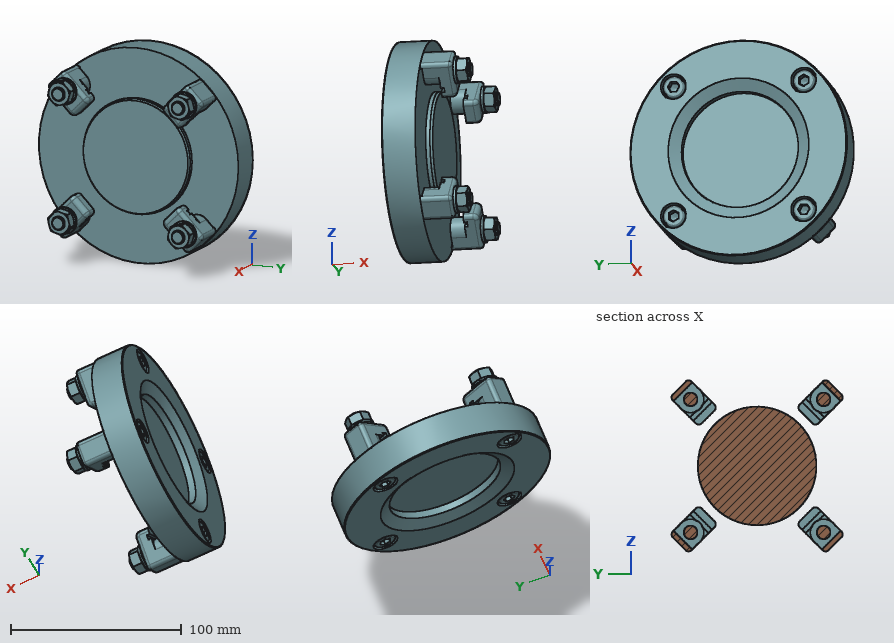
import cadquery as cq
import math

flange_radius = 65.0
flange_thickness = 20.2
flange_edge_chamfer = 0.5

recess_mouth_radius = 42.1
recess_bore_radius = 35.0
recess_cone_depth = 4.0
recess_depth = 8.6

boss_radius = 34.8
boss_height = 4.0
boss_chamfer_length = 1.5
boss_chamfer_width = 0.8

clamp_count = 4
first_clamp_angle = 45.0
bolt_circle_radius = 55.1
clamp_inner = 40.5
clamp_outer = 64.6
clamp_width = 15.6
clamp_top = 39.0
clamp_corner_radius = 2.5
clamp_top_radius = 2.0
jaw_tip_radius = 3.2
jaw_face = 30.0
foot_length = 3.1
foot_height = 0.8
jaw_groove_start = 45.1
jaw_groove_width = 2.9
jaw_groove_depth = 2.0

bolt_radius = 4.0
bolt_end = 48.5
bolt_end_chamfer = 0.5
counterbore_radius = 7.5
head_radius = 6.5
head_height = 8.0
head_sink = 0.4
head_edge_radius = 0.9
socket_across_flats = 6.0
socket_depth = 4.0
socket_cone_depth = 2.0
socket_turn = 45.0
washer_radius = 7.9
washer_thickness = 1.5
nut_across_flats = 13.3
nut_height = 6.4
nut_chamfer_width = 0.9
nut_chamfer_length = 0.5


def hexagon_diameter(across_flats):
    return across_flats / math.cos(math.radians(30))


def cylinder(radius, start, end, centre_z=0.0):
    """Cylinder along X from start to end."""
    return cq.Workplane("YZ", origin=(start, 0, centre_z)).circle(radius).extrude(end - start)


def block(start, end, width, bottom, top):
    """Box from start to end in X and bottom to top in Z, centred on Y = 0."""
    size = (end - start, width, top - bottom)
    return cq.Workplane("XY").box(*size).translate(((start + end) / 2, 0, (bottom + top) / 2))


def revolve_about_x(points, centre_z=0.0):
    """Solid of revolution about X from a closed outline of (x, radius) points."""
    outline = cq.Workplane("XY").polyline(points).close()
    return outline.revolve(360, (0, 0, 0), (1, 0, 0)).translate((0, 0, centre_z))


def make_flange():
    disc = cylinder(flange_radius, 0, flange_thickness).faces("<X").chamfer(flange_edge_chamfer)
    boss_end = flange_thickness + boss_height
    boss = revolve_about_x([
        (flange_thickness, 0),
        (flange_thickness, boss_radius),
        (boss_end - boss_chamfer_length, boss_radius),
        (boss_end, boss_radius - boss_chamfer_width),
        (boss_end, 0),
    ])
    recess = revolve_about_x([
        (0, 0),
        (0, recess_mouth_radius),
        (recess_cone_depth, recess_bore_radius),
        (recess_depth, recess_bore_radius),
        (recess_depth, 0),
    ])
    return disc.union(boss).cut(recess)


def make_clamp():
    """Claw clamp on the +Z side: rounded post, foot at the rim and overhanging jaw."""
    body = block(flange_thickness, clamp_top, clamp_width, clamp_inner, clamp_outer)
    body = body.faces(">X").edges("<Z").fillet(jaw_tip_radius)
    body = body.edges("|X").fillet(clamp_corner_radius)
    body = body.faces(">X").edges(">Z").fillet(clamp_top_radius)
    under_jaw = block(flange_thickness, jaw_face, clamp_width, clamp_inner, bolt_circle_radius)
    post = cylinder(clamp_width / 2, flange_thickness, jaw_face, bolt_circle_radius)
    foot_gap = block(
        flange_thickness, flange_thickness + foot_height, clamp_width,
        clamp_inner, clamp_outer - foot_length,
    )
    groove = block(
        jaw_face, jaw_face + jaw_groove_depth, clamp_width,
        jaw_groove_start, jaw_groove_start + jaw_groove_width,
    )
    return body.cut(under_jaw.cut(post)).cut(foot_gap).cut(groove)


def make_counterbore():
    return cylinder(counterbore_radius, 0, head_sink + head_height, bolt_circle_radius)


def make_socket():
    """Hexagonal socket with a conical bottom."""
    diameter = hexagon_diameter(socket_across_flats)
    length = socket_depth + socket_cone_depth
    prism = cq.Workplane("YZ").polygon(6, diameter).extrude(length)
    prism = prism.rotate((0, 0, 0), (1, 0, 0), socket_turn)
    drill = revolve_about_x([(0, 0), (0, diameter / 2), (socket_depth, diameter / 2), (length, 0)])
    return prism.intersect(drill).translate((head_sink, 0, bolt_circle_radius))


def make_bolt():
    head = cylinder(head_radius, head_sink, head_sink + head_height, bolt_circle_radius)
    head = head.faces("<X").edges().fillet(head_edge_radius)
    shank = cylinder(bolt_radius, head_sink + head_height, bolt_end, bolt_circle_radius)
    shank = shank.faces(">X").chamfer(bolt_end_chamfer)
    return head.union(shank).cut(make_socket())


def make_washer_and_nut():
    nut_start = clamp_top + washer_thickness
    nut_end = nut_start + nut_height
    washer = cylinder(washer_radius, clamp_top, nut_start, bolt_circle_radius)
    diameter = hexagon_diameter(nut_across_flats)
    nut = cq.Workplane("YZ").polygon(6, diameter).extrude(nut_height)
    nut = nut.rotate((0, 0, 0), (1, 0, 0), 90).translate((nut_start, 0, bolt_circle_radius))
    corner_radius = diameter / 2
    rounding = revolve_about_x([
        (nut_start, 0),
        (nut_start, corner_radius - nut_chamfer_width),
        (nut_start + nut_chamfer_length, corner_radius),
        (nut_end - nut_chamfer_length, corner_radius),
        (nut_end, corner_radius - nut_chamfer_width),
        (nut_end, 0),
    ], bolt_circle_radius)
    return washer.union(nut.intersect(rounding))


result = make_flange()
counterbore = make_counterbore()
clamp_set = make_clamp().union(make_bolt()).union(make_washer_and_nut())
for index in range(clamp_count):
    angle = first_clamp_angle + index * 360 / clamp_count
    result = result.cut(counterbore.rotate((0, 0, 0), (1, 0, 0), angle))
    result = result.union(clamp_set.rotate((0, 0, 0), (1, 0, 0), angle))